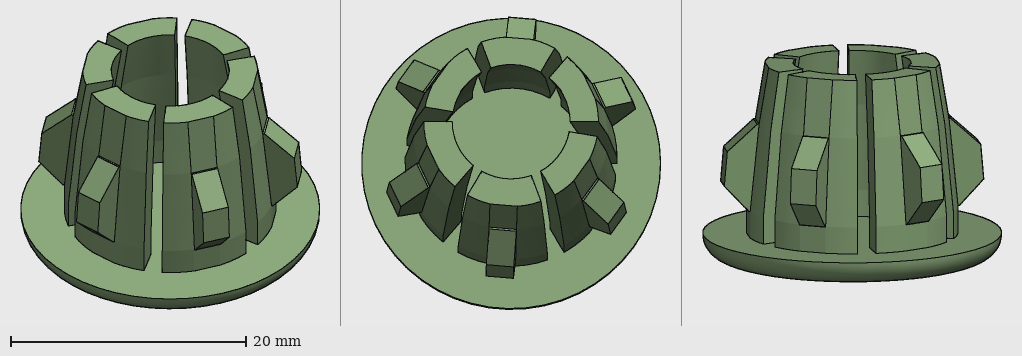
import cadquery as cq
import math

flange_diameter = 25.4
flange_thickness = 2.0
flange_edge_radius = 1.9

collar_top = 4.3
taper_break = 11.85
total_height = 16.75

collar_radius = 9.0
break_radius = 8.23
top_radius = 7.42
wall_thickness = 2.41

finger_count = 6
finger_pitch = 360 / finger_count
slot_angle = 10

lug_width = 2.34
lug_top_radius = 8.3
lug_upper_radius = 10.87
lug_upper_height = 9.55
lug_lower_radius = 11.13
lug_lower_height = 6.55
lug_bottom_radius = 9.02


def chord_distance(radius):
    """Distance from the axis to a flat of lug width cut across a circle."""
    return math.sqrt(radius**2 - (lug_width / 2) ** 2)


def make_flange():
    disc = cq.Workplane("XY").circle(flange_diameter / 2).extrude(flange_thickness)
    return disc.faces("<Z").edges().fillet(flange_edge_radius)


def make_barrel():
    """Hollow barrel: straight collar, shallow taper, then a steeper taper."""
    outer = [
        (collar_radius, flange_thickness),
        (collar_radius, collar_top),
        (break_radius, taper_break),
        (top_radius, total_height),
    ]
    inner = [(radius - wall_thickness, height) for radius, height in reversed(outer)]
    return cq.Workplane("XZ").polyline(outer + inner).close().revolve(360, (0, 0), (0, 1))


def prism_across_finger(profile):
    """Extrude a radius-height profile over the lug width, centred on the X axis."""
    return cq.Workplane("XZ").polyline(profile).close().extrude(lug_width / 2, both=True)


def make_flat_cutter():
    """Waste outside the narrow flat that runs up the middle of a finger."""
    return prism_across_finger([
        (chord_distance(collar_radius), flange_thickness),
        (chord_distance(collar_radius), collar_top),
        (chord_distance(break_radius), taper_break),
        (chord_distance(top_radius), total_height),
        (flange_diameter / 2, total_height),
        (flange_diameter / 2, flange_thickness),
    ])


def make_lug():
    lug_root = break_radius - wall_thickness / 2
    return prism_across_finger([
        (lug_root, collar_top),
        (lug_bottom_radius, collar_top),
        (lug_lower_radius, lug_lower_height),
        (lug_upper_radius, lug_upper_height),
        (lug_top_radius, taper_break),
        (lug_root, taper_break),
    ])


def make_slot():
    """Wedge with its tip on the axis, open through the wall along +X."""
    half_width = flange_diameter / 2 * math.tan(math.radians(slot_angle / 2))
    return (
        cq.Workplane("XY")
        .workplane(offset=flange_thickness)
        .polyline([(0, 0), (flange_diameter / 2, -half_width), (flange_diameter / 2, half_width)])
        .close()
        .extrude(total_height - flange_thickness)
    )


def around_axis(shape, angle):
    return shape.rotate((0, 0, 0), (0, 0, 1), angle)


barrel = make_barrel()
for finger in range(finger_count):
    finger_angle = finger * finger_pitch
    barrel = barrel.cut(around_axis(make_slot(), finger_angle + finger_pitch / 2))
    barrel = barrel.cut(around_axis(make_flat_cutter(), finger_angle))
    barrel = barrel.union(around_axis(make_lug(), finger_angle))

result = make_flange().union(barrel)